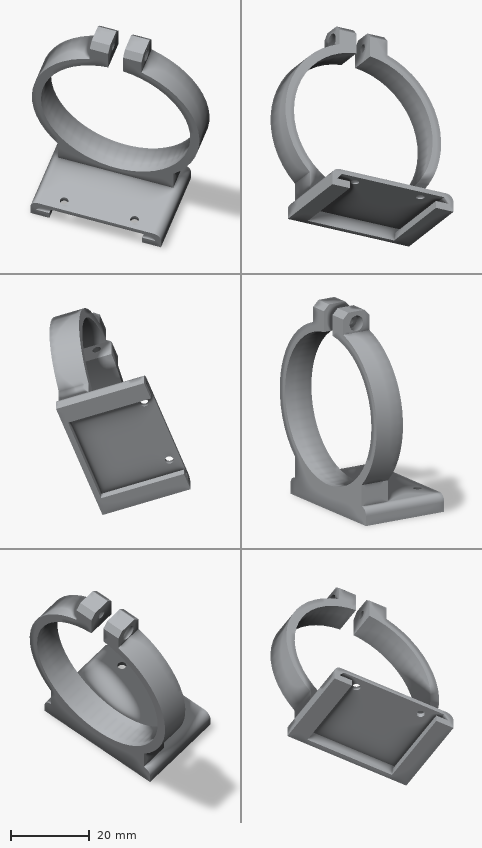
import cadquery as cq

total_height = 53.65
base_depth = 23.75
ring_depth = 8.0

ring_outer_diameter = 44.95
ring_wall = 2.45
ring_bore_diameter = ring_outer_diameter - 2 * ring_wall
ring_center_z = 26.65

base_width = 35.0
base_height = 4.7
base_corner_radius = 2.05
pedestal_width = base_width - 2 * base_corner_radius
lip_height = 1.95
lip_gap = 24.9
undercut_width = 32.1
channel_ceiling_width = 29.5
channel_height = 3.5
channel_end_wall = (base_width - undercut_width) / 2

mount_hole_diameter = 2.2
mount_hole_spacing = 18.9
mount_hole_front_offset = 2.85

lug_outer_span = 13.9
lug_gap = 3.95
lug_chamfer = 1.55
screw_drop = 3.2
screw_z = total_height - screw_drop
screw_y = -ring_depth / 2
screw_hole_diameter = 2.2
screw_head_diameter = 4.1
insert_diameter = 3.2
screw_head_web = 2.0
insert_web = 1.0


def block(width, depth, bottom, top):
    """Box centered in X, with its back face at Y = 0."""
    return (
        cq.Workplane("XY", origin=(0, 0, bottom))
        .box(width, depth, top - bottom, centered=(True, False, False))
        .translate((0, -depth, 0))
    )


def ring_cylinder(diameter):
    """Cylinder on the ring axis, running forward from the back face."""
    return cq.Workplane("XZ", origin=(0, 0, ring_center_z)).circle(diameter / 2).extrude(ring_depth)


def base_rail():
    """Rounded rail with a channel open at the front and closed by a wall at the back."""
    rail = block(base_width, base_depth, 0, base_height).edges("|Y and >Z").fillet(base_corner_radius)
    channel = (
        cq.Workplane("XZ", origin=(0, -channel_end_wall, 0))
        .moveTo(-lip_gap / 2, 0)
        .lineTo(-lip_gap / 2, lip_height)
        .lineTo(-undercut_width / 2, lip_height)
        .lineTo(-channel_ceiling_width / 2, channel_height)
        .lineTo(channel_ceiling_width / 2, channel_height)
        .lineTo(undercut_width / 2, lip_height)
        .lineTo(lip_gap / 2, lip_height)
        .lineTo(lip_gap / 2, 0)
        .close()
        .extrude(base_depth)
    )
    mount_holes = (
        cq.Workplane("XY")
        .pushPoints([(side * mount_hole_spacing / 2, mount_hole_front_offset - base_depth) for side in (-1, 1)])
        .circle(mount_hole_diameter / 2)
        .extrude(base_height)
    )
    return rail.cut(channel).cut(mount_holes)


def clamp():
    """Ring on its pedestal, split at the top between two chamfered lugs."""
    lugs = block(lug_outer_span, ring_depth, ring_center_z, total_height)
    lugs = lugs.edges("|X and >Z").chamfer(lug_chamfer)
    pedestal = block(pedestal_width, ring_depth, base_height, ring_center_z)
    body = ring_cylinder(ring_outer_diameter).union(pedestal).union(lugs)
    below_base_top = block(ring_outer_diameter, ring_depth, 0, base_height)
    split = block(lug_gap, ring_depth, ring_center_z, total_height)
    return body.cut(below_base_top).cut(ring_cylinder(ring_bore_diameter)).cut(split)


def screw_recess(side, diameter, web):
    """Round recess in a lug's outer face (side -1 or 1), stopping short of the gap by the web."""
    return (
        cq.Workplane("YZ", origin=(side * (lug_gap / 2 + web), screw_y, screw_z))
        .circle(diameter / 2)
        .extrude(side * (lug_outer_span - lug_gap) / 2)
    )


screw_hole = (
    cq.Workplane("YZ", origin=(0, screw_y, screw_z))
    .circle(screw_hole_diameter / 2)
    .extrude(lug_outer_span / 2, both=True)
)

result = (
    base_rail()
    .union(clamp())
    .cut(screw_hole)
    .cut(screw_recess(-1, screw_head_diameter, screw_head_web))
    .cut(screw_recess(1, insert_diameter, insert_web))
)